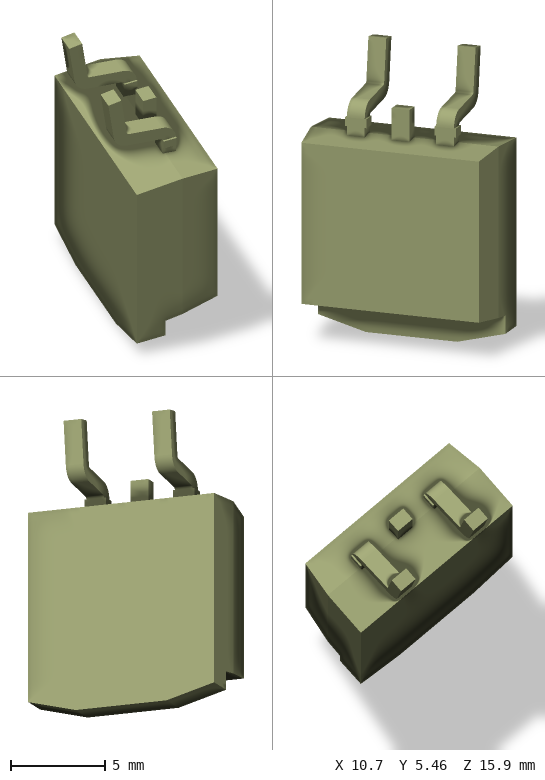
import cadquery as cq
import math


body_width = 10.67
body_depth = 4.83
parting_y = 2.67
parting_bottom = 1.86
parting_top = 11.32
rear_inset = 0.29
front_top_drop = 0.2
rear_slope = rear_inset / (body_depth - parting_y)

tab_thickness = 1.67
tab_window_width = 6.25
tab_top = 6.6
tab_end_width = 5.21
tab_corner_height = 0.71
tab_shoulder = parting_bottom - rear_slope * (parting_y - tab_thickness)

overall_height = 15.88
lead_pitch = 2.54
lead_width = 1.02
lead_thickness = 0.76
lead_front = 2.54
lead_rear = lead_front + lead_thickness
lead_tilt = math.radians(7.5)
shoulder_width = 1.22
shoulder_bottom = 11.75
shoulder_top = 12.25
bend_inner_radius = 0.13
bend_outer_radius = bend_inner_radius + lead_thickness
lower_bend_z = shoulder_top
upper_bend_y = 0.57
stub_top = 13.0
lead_root = 10.32


def extrude_side(sketch, width):
    """Extrude a YZ profile symmetrically about X = 0."""
    return sketch.close().extrude(width / 2, both=True)


def make_housing_block():
    """Housing outline without the tab recess."""
    rear_bottom = parting_bottom + rear_inset
    rear_top = parting_top - rear_inset
    block = extrude_side(
        cq.Workplane("YZ")
        .moveTo(0, tab_shoulder)
        .lineTo(tab_thickness, tab_shoulder)
        .lineTo(body_depth, rear_bottom)
        .lineTo(body_depth, rear_top)
        .lineTo(parting_y, parting_top)
        .lineTo(0, parting_top - front_top_drop),
        body_width,
    )
    half_width = body_width / 2
    plan = (
        cq.Workplane("XY")
        .moveTo(-half_width, 0)
        .lineTo(half_width, 0)
        .lineTo(half_width, parting_y)
        .lineTo(half_width - rear_inset, body_depth)
        .lineTo(rear_inset - half_width, body_depth)
        .lineTo(-half_width, parting_y)
        .close()
        .extrude(overall_height)
    )
    return block.intersect(plan)


def make_tab():
    """Plate with a narrow part inside the housing and a full-width lower end."""
    half_width = body_width / 2
    half_window = tab_window_width / 2
    half_end = tab_end_width / 2
    outline = [
        (-half_end, 0),
        (half_end, 0),
        (half_width, tab_corner_height),
        (half_width, tab_shoulder),
        (half_window, tab_shoulder),
        (half_window, tab_top),
        (-half_window, tab_top),
        (-half_window, tab_shoulder),
        (-half_width, tab_shoulder),
        (-half_width, tab_corner_height),
    ]
    return cq.Workplane("XZ").polyline(outline).close().extrude(-tab_thickness)


def make_post(width, bottom, top):
    """Upright bar of lead stock."""
    return (
        cq.Workplane("XY", origin=(0, lead_front + lead_thickness / 2, bottom))
        .rect(width, lead_thickness)
        .extrude(top - bottom)
    )


def around(center, radius, angle):
    """Point on a bend circle in the YZ plane."""
    y, z = center
    return (y + radius * math.cos(angle), z + radius * math.sin(angle))


def make_formed_lead():
    """Lead that runs up, forwards and up again through two concentric bends."""
    arm_up = math.pi / 2 - lead_tilt
    arm_down = arm_up + math.pi
    foot_forward = math.pi + lead_tilt
    upper_middle = (arm_down + foot_forward) / 2

    lower_center = (lead_front - bend_inner_radius, lower_bend_z)
    center_spacing = bend_inner_radius + bend_outer_radius
    tangent_y, tangent_z = around(lower_center, center_spacing, arm_up)
    upper_center = (
        upper_bend_y,
        tangent_z + (tangent_y - upper_bend_y) * math.tan(lead_tilt),
    )

    foot_start_rear = around(upper_center, bend_inner_radius, foot_forward)
    foot_start_front = around(upper_center, bend_outer_radius, foot_forward)
    foot_rise = overall_height - foot_start_rear[1]
    foot_run = foot_rise * math.tan(lead_tilt)
    foot_end_rear = (foot_start_rear[0] - foot_run, overall_height)
    foot_end_front = (foot_start_front[0] - foot_run, foot_start_front[1] + foot_rise)

    strip = extrude_side(
        cq.Workplane("YZ")
        .moveTo(lead_front, lead_root)
        .lineTo(lead_rear, lead_root)
        .lineTo(lead_rear, lower_bend_z)
        .threePointArc(
            around(lower_center, bend_outer_radius, arm_up / 2),
            around(lower_center, bend_outer_radius, arm_up),
        )
        .lineTo(*around(upper_center, bend_inner_radius, arm_down))
        .threePointArc(around(upper_center, bend_inner_radius, upper_middle), foot_start_rear)
        .lineTo(*foot_end_rear)
        .lineTo(*foot_end_front)
        .lineTo(*foot_start_front)
        .threePointArc(
            around(upper_center, bend_outer_radius, upper_middle),
            around(upper_center, bend_outer_radius, arm_down),
        )
        .lineTo(*around(lower_center, bend_inner_radius, arm_up))
        .threePointArc(
            around(lower_center, bend_inner_radius, arm_up / 2),
            (lead_front, lower_bend_z),
        ),
        lead_width,
    )
    return strip.union(make_post(shoulder_width, shoulder_bottom, shoulder_top))


housing_block = make_housing_block()
tab = make_tab()
housing = housing_block.cut(tab)

center_stub = make_post(lead_width, lead_root, stub_top).cut(housing_block)
formed_lead = make_formed_lead().cut(housing_block)
leads = [formed_lead.translate((side * lead_pitch, 0, 0)) for side in (-1, 1)]

result = cq.Compound.makeCompound(
    [housing.val(), tab.val(), center_stub.val(), *[lead.val() for lead in leads]]
)